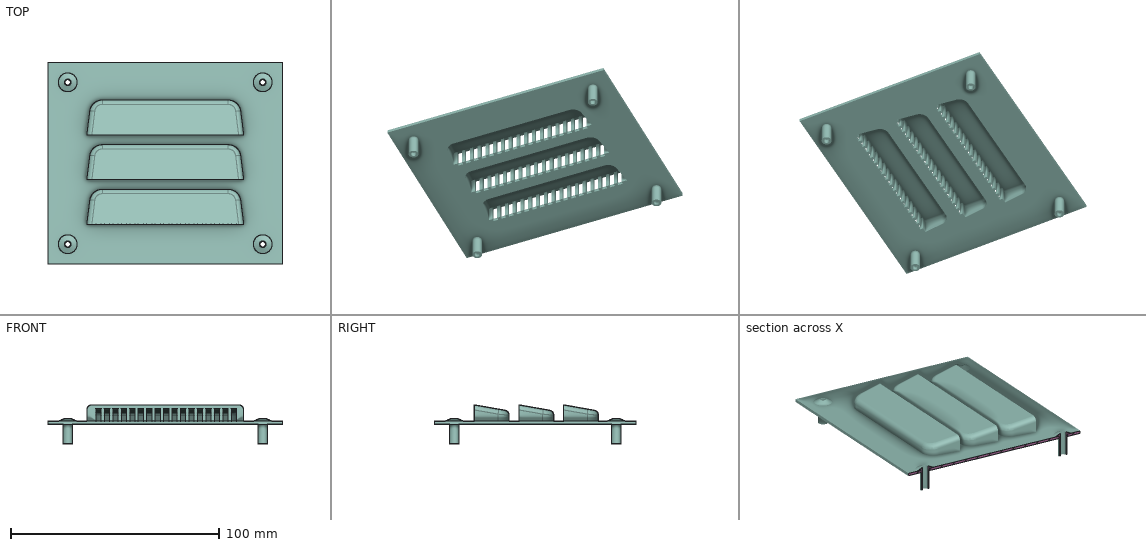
import cadquery as cq
import math

PLATE_LENGTH = 112.7
PLATE_WIDTH = 96.8
SHEET = 1.5

LOUVRE_COUNT = 3
LOUVRE_PITCH = 21.4
MIDDLE_LOUVRE_FRONT_Y = -7.9
LOUVRE_FRONT_WIDTH = 75.3
LOUVRE_DEPTH = 16.8
LOUVRE_HEIGHT = 7.9
SIDE_TAPER = math.radians(7.0)
ROOF_SLOPE = math.radians(10.0)
CORNER_RADIUS = 6.1
ROOF_RADIUS = 2.5

SLOT_COUNT = 17
SLOT_PITCH = 4.1
SLOT_WIDTH = 2.5
SLOT_ROW_OFFSET = 0.5

RIVET_EDGE_DISTANCE = 9.6
SHANK_DIAMETER = 4.7
SHANK_LENGTH = 9.4
HEAD_DIAMETER = 9.0
HEAD_TOP_DIAMETER = 3.2
HEAD_HEIGHT = 1.4
BORE_DIAMETER = 2.6

RIVET_POINTS = [
    (side_x * (PLATE_LENGTH / 2 - RIVET_EDGE_DISTANCE), side_y * (PLATE_WIDTH / 2 - RIVET_EDGE_DISTANCE))
    for side_x in (-1, 1)
    for side_y in (-1, 1)
]


def roof_z(y, inset):
    """Height of the sloping roof at distance y behind the louvre front, moved inwards by inset."""
    return SHEET + LOUVRE_HEIGHT - inset / math.cos(ROOF_SLOPE) - y * math.tan(ROOF_SLOPE)


def louvre_form(inset):
    """Solid hood shape from Z = 0 up, front face at Y = 0, with every surface moved inwards by inset."""
    front_y = inset
    back_y = LOUVRE_DEPTH - inset

    def half_width(y):
        return LOUVRE_FRONT_WIDTH / 2 - inset / math.cos(SIDE_TAPER) - y * math.tan(SIDE_TAPER)

    front_z = roof_z(front_y, inset)
    back_z = roof_z(back_y, inset)

    plan = (
        cq.Workplane("XY")
        .polyline([
            (-half_width(front_y), front_y),
            (half_width(front_y), front_y),
            (half_width(back_y), back_y),
            (-half_width(back_y), back_y),
        ])
        .close()
        .extrude(front_z)
        .edges("|Z and >Y")
        .fillet(CORNER_RADIUS - inset)
    )
    under_roof = (
        cq.Workplane("YZ")
        .polyline([(front_y, 0), (back_y, 0), (back_y, back_z), (front_y, front_z)])
        .close()
        .extrude(LOUVRE_FRONT_WIDTH / 2, both=True)
    )
    form = plan.intersect(under_roof)
    return form.faces(">Z").edges("not <Y").fillet(ROOF_RADIUS - inset)


def louvre_slots():
    """Cutters for a louvre's row of front slots, reaching from its roof down through the plate."""
    slot_height = roof_z(SHEET, SHEET)
    return (
        cq.Workplane("XY", origin=(SLOT_ROW_OFFSET, SHEET / 2, 0))
        .rarray(SLOT_PITCH, 1.1, SLOT_COUNT, 1)
        .box(SLOT_WIDTH, SHEET, slot_height, centered=(True, True, False))
    )


def make_plate():
    plate = cq.Workplane("XY").box(PLATE_LENGTH, PLATE_WIDTH, SHEET, centered=(True, True, False))
    outside = louvre_form(0)
    inside = louvre_form(SHEET)
    slots = louvre_slots()
    for index in range(LOUVRE_COUNT):
        front_y = MIDDLE_LOUVRE_FRONT_Y + (index - (LOUVRE_COUNT - 1) / 2) * LOUVRE_PITCH
        place = (0, front_y, 0)
        plate = plate.union(outside.translate(place))
        plate = plate.cut(inside.translate(place)).cut(slots.translate(place))
    rivet_holes = cq.Workplane("XY").pushPoints(RIVET_POINTS).circle(SHANK_DIAMETER / 2).extrude(SHEET)
    return plate.cut(rivet_holes)


def make_rivet(x, y):
    """Rivet with a conical head on the plate, a straight shank and a bore right through."""
    bore_radius = BORE_DIAMETER / 2
    shank_radius = SHANK_DIAMETER / 2
    head_top_z = SHEET + HEAD_HEIGHT
    profile = (
        cq.Workplane("XZ")
        .polyline([
            (bore_radius, -SHANK_LENGTH),
            (shank_radius, -SHANK_LENGTH),
            (shank_radius, SHEET),
            (HEAD_DIAMETER / 2, SHEET),
            (HEAD_TOP_DIAMETER / 2, head_top_z),
            (bore_radius, head_top_z),
        ])
        .close()
    )
    return profile.revolve(360, (0, 0, 0), (0, 1, 0)).translate((x, y, 0))


plate = make_plate()
rivets = [make_rivet(x, y) for x, y in RIVET_POINTS]

result = cq.Compound.makeCompound([plate.val(), *[rivet.val() for rivet in rivets]])